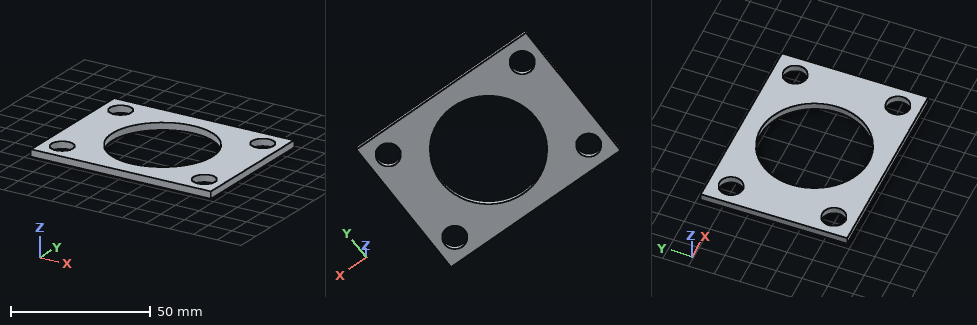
import cadquery as cq

length = 76.0
width = 57.0
thickness = 3.0

opening_diameter = 42.0
bolt_hole_diameter = 9.0
bolt_spacing_x = 60.0
bolt_spacing_y = 40.0

plate = cq.Workplane("XY").box(length, width, thickness)
plate = plate.faces(">Z").workplane().hole(opening_diameter)

result = (
    plate.faces(">Z")
    .workplane()
    .rect(bolt_spacing_x, bolt_spacing_y, forConstruction=True)
    .vertices()
    .hole(bolt_hole_diameter)
)